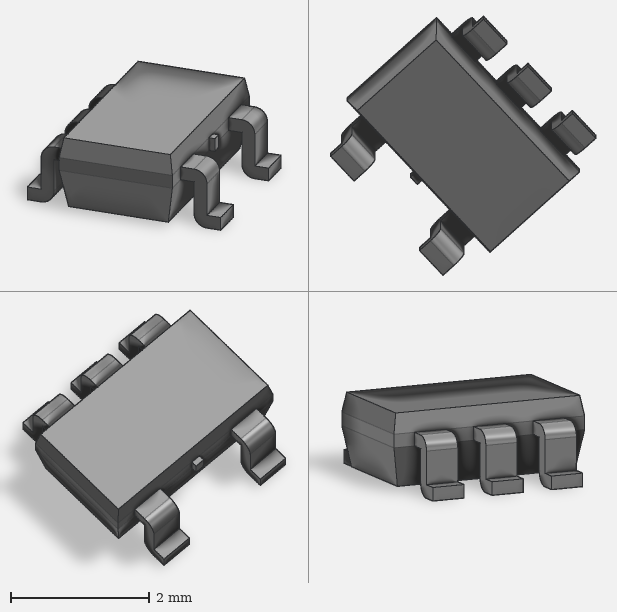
import cadquery as cq
import math

PACKAGE_LENGTH = 3.05
PACKAGE_WIDTH = 1.757
LEAD_SPAN = 3.0
TOTAL_HEIGHT = 1.2

STANDOFF = 0.1
TOP_BLOCK_HEIGHT = 0.3
BOTTOM_BLOCK_HEIGHT = 0.598
DRAFT_ANGLE = 10.0

LEAD_THICKNESS = 0.2
LEAD_WIDTH = 0.5
LEAD_PITCH = 0.95
FOOT_LENGTH = 0.215

STUB_LENGTH = 0.09
STUB_WIDTH = 0.15

BAND_TOP = TOTAL_HEIGHT - TOP_BLOCK_HEIGHT
BAND_BOTTOM = STANDOFF + BOTTOM_BLOCK_HEIGHT
PACKAGE_SIDE = PACKAGE_WIDTH / 2


def make_package():
    """Moulded package tapering above and below its straight band."""
    band_height = BAND_TOP - BAND_BOTTOM
    band = (
        cq.Workplane("XY", origin=(0, 0, BAND_BOTTOM))
        .rect(PACKAGE_WIDTH, PACKAGE_LENGTH)
        .extrude(band_height)
    )
    top_block = (
        cq.Workplane("XY", origin=(0, 0, BAND_TOP))
        .rect(PACKAGE_WIDTH, PACKAGE_LENGTH)
        .extrude(TOP_BLOCK_HEIGHT, taper=DRAFT_ANGLE)
    )
    bottom_block = (
        cq.Workplane("XY", origin=(0, 0, BAND_BOTTOM))
        .rect(PACKAGE_WIDTH, PACKAGE_LENGTH)
        .extrude(-BOTTOM_BLOCK_HEIGHT, taper=DRAFT_ANGLE)
    )
    return band.union(top_block).union(bottom_block)


def make_lead(side, y_center):
    """Gull-wing lead; side is +1 for the +X row and -1 for the -X row."""
    tip = LEAD_SPAN / 2
    upright_outer = tip - FOOT_LENGTH
    upright_inner = upright_outer - LEAD_THICKNESS
    shoulder_bottom = BAND_TOP - LEAD_THICKNESS
    arc_inset = LEAD_THICKNESS * (1 - math.sqrt(0.5))
    profile = (
        cq.Workplane("XZ", origin=(0, y_center + LEAD_WIDTH / 2, 0))
        .moveTo(side * PACKAGE_SIDE, BAND_TOP)
        .lineTo(side * upright_inner, BAND_TOP)
        .threePointArc(
            (side * (upright_outer - arc_inset), BAND_TOP - arc_inset),
            (side * upright_outer, shoulder_bottom),
        )
        .lineTo(side * upright_outer, LEAD_THICKNESS)
        .lineTo(side * tip, LEAD_THICKNESS)
        .lineTo(side * tip, 0)
        .lineTo(side * upright_outer, 0)
        .threePointArc(
            (side * (upright_inner + arc_inset), arc_inset),
            (side * upright_inner, LEAD_THICKNESS),
        )
        .lineTo(side * upright_inner, shoulder_bottom)
        .lineTo(side * PACKAGE_SIDE, shoulder_bottom)
        .close()
    )
    return profile.extrude(LEAD_WIDTH)


def make_stub():
    """Tie-bar stub standing out from the package band, as thick as a lead."""
    return cq.Workplane("XY").box(
        STUB_LENGTH, STUB_WIDTH, LEAD_THICKNESS, centered=(False, True, False)
    ).translate((PACKAGE_SIDE, 0, BAND_TOP - LEAD_THICKNESS))


LEAD_ROWS = {-1: (-1, 0, 1), 1: (-1, 1)}

package = make_package()
stub = make_stub()
leads = [
    make_lead(side, step * LEAD_PITCH)
    for side, steps in LEAD_ROWS.items()
    for step in steps
]

result = cq.Compound.makeCompound([package.val(), stub.val(), *[lead.val() for lead in leads]])